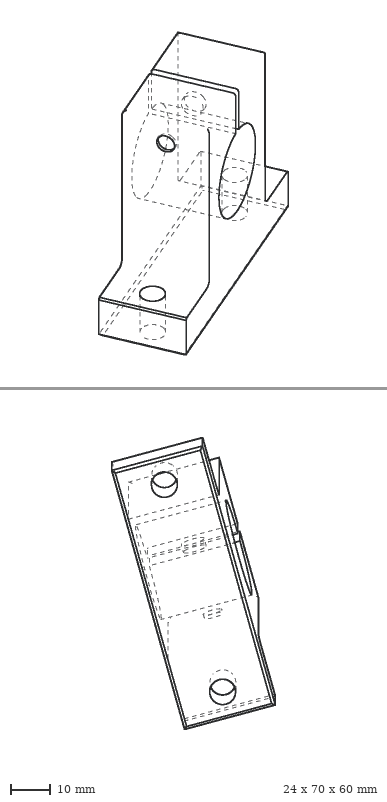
import cadquery as cq


width = 24.0
foot_length = 70.0
foot_height = 12.0
front_end_chamfer = 0.5
back_end_round = 1.0
bottom_chamfer = 0.8

total_height = 60.0
post_length = 38.0
post_top_round = 1.0
root_fillet = 2.0

bore_diameter = 25.0
bore_height = 35.0
slit_width = 2.0

screw_diameter = 6.0
screw_hole_diameter = 4.9
screw_height = 53.0
screw_recess = 1.0

mount_hole_diameter = 6.6
mount_hole_spacing = 56.0

half_post = post_length / 2


def make_foot():
    """Foot plate: bevelled underside and -Y end, rounded +Y end."""
    foot = cq.Workplane("XY").box(width, foot_length, foot_height, centered=(True, True, False))
    foot = foot.faces("<Z").edges().chamfer(bottom_chamfer)
    foot = foot.faces(">Z").edges("<Y").chamfer(front_end_chamfer)
    return foot.faces(">Z").edges(">Y").fillet(back_end_round)


def make_post():
    """Upright post with all four top edges rounded."""
    post_height = total_height - foot_height
    post = cq.Workplane("XY").box(width, post_length, post_height, centered=(True, True, False))
    post = post.translate((0, 0, foot_height))
    return post.faces(">Z").edges().fillet(post_top_round)


def make_root_fillet(side):
    """Concave fillet where the post meets the foot; side is -1 or +1 along Y."""
    corner_y = side * half_post
    outer_y = corner_y + side * root_fillet
    upper_z = foot_height + root_fillet
    arc_inset = root_fillet * (1 - 0.5**0.5)
    return (
        cq.Workplane("YZ", origin=(-width / 2, 0, 0))
        .moveTo(corner_y, foot_height)
        .lineTo(outer_y, foot_height)
        .threePointArc((corner_y + side * arc_inset, foot_height + arc_inset), (corner_y, upper_z))
        .close()
        .extrude(width)
    )


def make_bore():
    """Shaft bore through the full width."""
    plane = cq.Workplane("YZ", origin=(-width / 2, 0, bore_height))
    return plane.circle(bore_diameter / 2).extrude(width)


def make_slit():
    """Clamping slit from the bore centre up through the top of the post."""
    slit_height = total_height - bore_height
    slit = cq.Workplane("XY").box(width, slit_width, slit_height, centered=(True, True, False))
    return slit.translate((0, 0, bore_height))


def make_rod(diameter, start_y, length):
    """Cylinder on the clamp screw axis, from start_y towards +Y."""
    plane = cq.Workplane("XZ", origin=(0, start_y, screw_height))
    return plane.circle(diameter / 2).extrude(-length)


def make_mount_holes():
    """Two through holes on the foot's centre line."""
    centers = [(0, side * mount_hole_spacing / 2) for side in (-1, 1)]
    return cq.Workplane("XY").pushPoints(centers).circle(mount_hole_diameter / 2).extrude(foot_height)


body = make_foot().union(make_post())
for y_side in (-1, 1):
    body = body.union(make_root_fillet(y_side))

body = body.cut(make_bore()).cut(make_slit()).cut(make_mount_holes())

body = body.union(make_rod(screw_diameter, -slit_width / 2, slit_width))
result = body.cut(make_rod(screw_hole_diameter, -half_post, screw_recess))